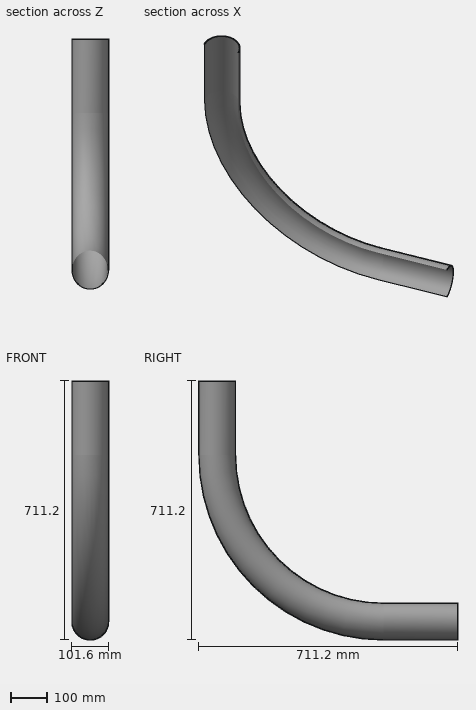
import cadquery as cq

outer_diameter = 101.6
inner_diameter = 97.38
bend_radius = 457.2
straight_length = 203.2
bend_angle = 90



def tube_section(plane):
    """Ring-shaped cross-section of the tube, centred on the plane origin."""
    return cq.Workplane(plane).circle(outer_diameter / 2).circle(inner_diameter / 2)


def upright_leg():
    base = cq.Plane(origin=(0, -bend_radius, 0), xDir=(1, 0, 0), normal=(0, 0, 1))
    return tube_section(base).extrude(straight_length)


def level_leg():
    base = cq.Plane(origin=(0, 0, -bend_radius), xDir=(1, 0, 0), normal=(0, 1, 0))
    return tube_section(base).extrude(straight_length)


def bend():
    """Quarter turn about the X axis, from the upright leg to the level leg."""
    start = cq.Plane(origin=(0, -bend_radius, 0), xDir=(1, 0, 0), normal=(0, 0, 1))
    axis_start = (0, bend_radius)
    axis_end = (1, bend_radius)
    return tube_section(start).revolve(bend_angle, axis_start, axis_end)


result = bend().union(upright_leg()).union(level_leg())